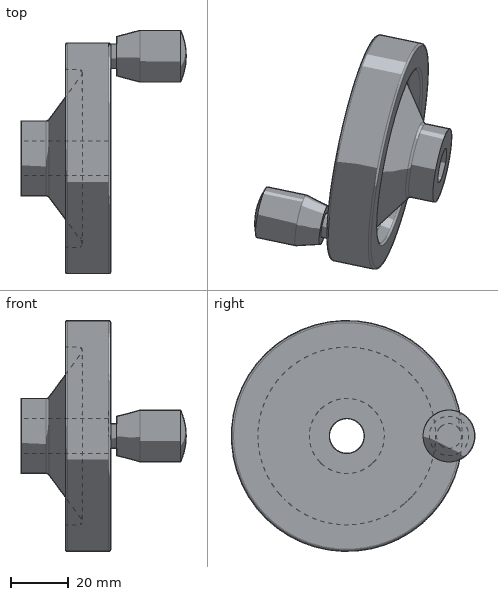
import cadquery as cq
import math

wheel_radius = 80.0 / 2
bore_diameter = 12.0
hub_radius = 26.0 / 2
rim_front = 15.3
rim_width = 15.8
rim_back = rim_front + rim_width
rim_edge_radius = 0.8

recess_radius = 61.6 / 2
cone_radius_at_rim_front = 21.2
cone_angle = math.radians(53.7)
corner_radius = 1.2

knob_radius = 18.0 / 2
knob_neck_radius = 13.7 / 2
pin_radius = 8.6 / 2
overall_height = 84.4
handle_y = overall_height - wheel_radius - knob_radius
knob_gap = 2.0
knob_taper_length = 8.1
knob_straight_length = 14.1
overall_length = 57.2


def cone_x(radius):
    """Axial position of the dish surface at a given radius."""
    return rim_front + (radius - cone_radius_at_rim_front) / math.tan(cone_angle)


def circle_edges(solid, x, radius):
    """Circular edge centred on the wheel axis, picked by position and radius."""
    tolerance = 0.01
    return solid.edges("%CIRCLE").filter(
        lambda edge: abs(edge.Center().x - x) < tolerance
        and abs(edge.radius() - radius) < tolerance
    )


def revolve_about_x(profile):
    return profile.close().revolve(360, (0, 0, 0), (1, 0, 0))


def make_wheel():
    cone_start = cone_x(hub_radius)
    cone_end = cone_x(recess_radius)
    wheel = revolve_about_x(
        cq.Workplane("XY")
        .moveTo(0, 0)
        .lineTo(0, hub_radius)
        .lineTo(cone_start, hub_radius)
        .lineTo(cone_end, recess_radius)
        .lineTo(rim_front, recess_radius)
        .lineTo(rim_front, wheel_radius)
        .lineTo(rim_back, wheel_radius)
        .lineTo(rim_back, 0)
    )
    for x, radius in ((cone_start, hub_radius), (cone_end, recess_radius)):
        wheel = circle_edges(wheel, x, radius).fillet(corner_radius)
    rim_edges = (
        (rim_front, recess_radius),
        (rim_front, wheel_radius),
        (rim_back, wheel_radius),
    )
    for x, radius in rim_edges:
        wheel = circle_edges(wheel, x, radius).fillet(rim_edge_radius)
    return wheel.faces("<X").workplane(origin=(0, 0, 0)).hole(bore_diameter)


def make_handle():
    knob_start = rim_back + knob_gap
    taper_end = knob_start + knob_taper_length
    dome_start = taper_end + knob_straight_length
    dome_height = overall_length - dome_start
    dome_radius = (knob_radius**2 + dome_height**2) / (2 * dome_height)
    dome_mid_radius = knob_radius / 2
    dome_mid_x = overall_length - dome_radius + math.sqrt(dome_radius**2 - dome_mid_radius**2)
    pin_start = rim_back - 2 * rim_edge_radius
    handle = revolve_about_x(
        cq.Workplane("XY")
        .moveTo(pin_start, 0)
        .lineTo(pin_start, pin_radius)
        .lineTo(knob_start, pin_radius)
        .lineTo(knob_start, knob_neck_radius)
        .lineTo(taper_end, knob_radius)
        .lineTo(dome_start, knob_radius)
        .threePointArc((dome_mid_x, dome_mid_radius), (overall_length, 0))
    )
    return handle.translate((0, handle_y, 0))


result = make_wheel().union(make_handle())